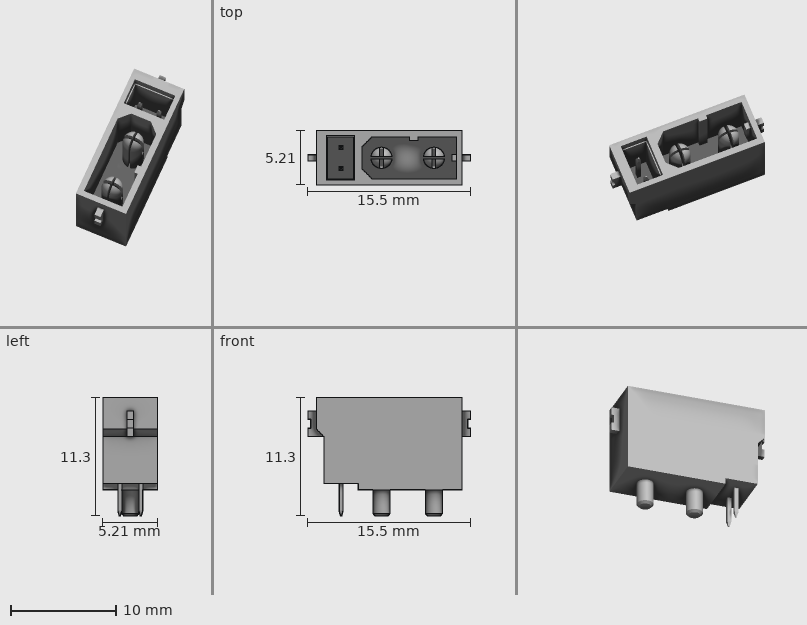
import cadquery as cq

overall_length = 15.5
overall_height = 11.3

bracket_overhang = 0.82
housing_length = overall_length - 2 * bracket_overhang
housing_width = 5.21
housing_height = 8.8
undercut = 0.71
undercut_top_depth = 3.02
foot_start = 3.97
foot_height = 0.6

pocket_depth = 6.51
pocket_width = 4.0
signal_pocket_left = 1.07
signal_pocket_length = 2.45
signal_entry_offset = 0.1
signal_entry_depth = 1.05
power_pocket_left = 4.31
power_pocket_right = 13.31
power_pocket_bevel = 0.98
key_left = 8.87
key_length = 0.8
key_height = 0.35

bracket_length = 1.8
bracket_thickness = 0.62
bracket_top_depth = 1.29
bracket_bottom_depth = undercut_top_depth + undercut
bracket_notch_depth = 0.26
bracket_notch_height = 0.84

power_pin_x = 6.18
power_pin_pitch = 4.99
power_head_radius = 1.0
power_head_top_depth = 1.04
power_tail_radius = 0.82
power_tail_chamfer = 0.23
long_slot_width = 0.23
cross_slot_width = 0.34
cross_slot_depth = 3.1

signal_pin_x = 2.34
signal_pin_pitch = 2.0
signal_pin_size = 0.39
signal_tip_size = 0.11
signal_tip_length = 0.5
signal_pin_top_depth = 1.86

pocket_floor = housing_height - pocket_depth
tail_end = housing_height - overall_height


def block(x_min, x_max, width, z_min, z_max):
    """Box centred on the mid-plane Y = 0."""
    base = cq.Workplane("XY", origin=((x_min + x_max) / 2, 0, z_min))
    return base.rect(x_max - x_min, width).extrude(z_max - z_min)


def make_housing():
    undercut_top = housing_height - undercut_top_depth
    outline = [
        (0, housing_height),
        (housing_length, housing_height),
        (housing_length, 0),
        (foot_start, 0),
        (foot_start, foot_height),
        (undercut, foot_height),
        (undercut, undercut_top - undercut),
        (0, undercut_top),
    ]
    return cq.Workplane("XZ").polyline(outline).close().extrude(housing_width / 2, both=True)


def make_signal_pocket():
    right = signal_pocket_left + signal_pocket_length
    well = block(signal_pocket_left, right, pocket_width, pocket_floor, housing_height)
    entry = block(
        signal_pocket_left - signal_entry_offset,
        right + signal_entry_offset,
        pocket_width + 2 * signal_entry_offset,
        housing_height - signal_entry_depth,
        housing_height,
    )
    return well.union(entry)


def make_power_pocket():
    """Pocket with two bevelled left corners and a key rib on its +Y wall."""
    well = block(power_pocket_left, power_pocket_right, pocket_width, pocket_floor, housing_height)
    well = well.edges("|Z and <X").chamfer(power_pocket_bevel)
    key = (
        cq.Workplane("XY", origin=(key_left, pocket_width / 2, pocket_floor))
        .rect(key_length, -key_height, centered=False)
        .extrude(pocket_depth)
    )
    return well.cut(key)


def make_bracket(outer_x, inward):
    """Bracket with a notched outer edge; inward is +1 or -1 along X."""
    top = housing_height - bracket_top_depth
    bottom = housing_height - bracket_bottom_depth
    middle = (top + bottom) / 2
    notch_top = middle + bracket_notch_height / 2
    notch_bottom = middle - bracket_notch_height / 2
    inner_x = outer_x + inward * bracket_length
    notch_x = outer_x + inward * bracket_notch_depth
    outline = [
        (inner_x, top),
        (outer_x, top),
        (outer_x, notch_top),
        (notch_x, notch_top),
        (notch_x, notch_bottom),
        (outer_x, notch_bottom),
        (outer_x, bottom),
        (inner_x, bottom),
    ]
    return cq.Workplane("XZ").polyline(outline).close().extrude(bracket_thickness / 2, both=True)


def make_power_pin(x):
    """Domed, cross-slotted contact in the pocket with a chamfered round tail below."""
    head_top = housing_height - power_head_top_depth
    head = (
        cq.Workplane("XY", origin=(x, 0, pocket_floor))
        .circle(power_head_radius)
        .extrude(head_top - power_head_radius - pocket_floor)
    )
    dome = cq.Workplane("XY", origin=(x, 0, head_top - power_head_radius)).sphere(power_head_radius)
    head = head.union(dome)
    left = x - power_head_radius
    right = x + power_head_radius
    long_slot = block(left, right, long_slot_width, pocket_floor, head_top)
    cross_slot = block(
        x - cross_slot_width / 2,
        x + cross_slot_width / 2,
        2 * power_head_radius,
        head_top - cross_slot_depth,
        head_top,
    )
    tail = (
        cq.Workplane("XY", origin=(x, 0, tail_end))
        .circle(power_tail_radius)
        .extrude(pocket_floor - tail_end)
        .faces("<Z")
        .chamfer(power_tail_chamfer)
    )
    return head.cut(long_slot).cut(cross_slot).union(tail)


def make_signal_pin(y):
    """Square pin, tapered to a small flat at both ends."""
    shank_bottom = tail_end + signal_tip_length
    shank_top = housing_height - signal_pin_top_depth - signal_tip_length
    pin = (
        cq.Workplane("XY", origin=(signal_pin_x, y, shank_bottom))
        .rect(signal_pin_size, signal_pin_size)
        .extrude(shank_top - shank_bottom)
    )
    for end_z, direction in ((shank_bottom, -1), (shank_top, 1)):
        tip = (
            cq.Workplane("XY", origin=(signal_pin_x, y, end_z))
            .rect(signal_pin_size, signal_pin_size)
            .workplane(offset=direction * signal_tip_length)
            .rect(signal_tip_size, signal_tip_size)
            .loft()
        )
        pin = pin.union(tip)
    return pin


result = make_housing().cut(make_signal_pocket()).cut(make_power_pocket())
result = result.union(make_bracket(-bracket_overhang, 1))
result = result.union(make_bracket(housing_length + bracket_overhang, -1))
for pin_x in (power_pin_x, power_pin_x + power_pin_pitch):
    result = result.union(make_power_pin(pin_x))
for pin_y in (-signal_pin_pitch / 2, signal_pin_pitch / 2):
    result = result.union(make_signal_pin(pin_y))